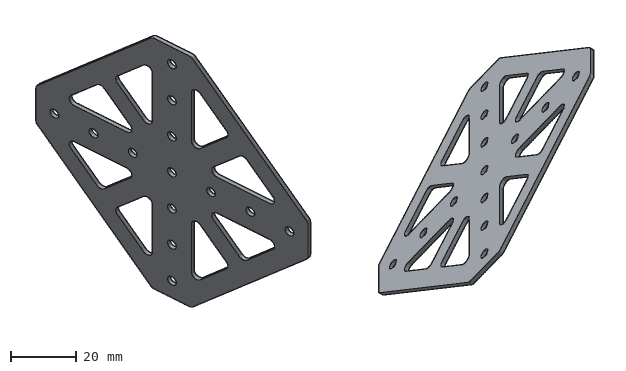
import cadquery as cq

width = 104.0
thickness = 1.5
hole_pitch = 15.0
holes_per_arm = 3
hole_diameter = 3.3
arm_half_width = 7.5
corner_radius = 2.0
diagonal_rib_offset = 5.0
border_offset = 10.0

half_width = width / 2
outer_slope = half_width + arm_half_width
window_slope = outer_slope - border_offset


def plate():
    """Square plate standing in the XZ plane, with its corners cut at 45 degrees."""
    outline = [
        (half_width, arm_half_width),
        (arm_half_width, half_width),
        (-arm_half_width, half_width),
        (-half_width, arm_half_width),
        (-half_width, -arm_half_width),
        (-arm_half_width, -half_width),
        (arm_half_width, -half_width),
        (half_width, -arm_half_width),
    ]
    body = cq.Workplane("XZ").polyline(outline).close().extrude(thickness / 2, both=True)
    return body.edges("|Y").fillet(corner_radius)


def window():
    """Rounded triangular cutter between the upper arm and a diagonal rib."""
    apex_x = (window_slope - diagonal_rib_offset) / 2
    corners = [
        (arm_half_width, arm_half_width + diagonal_rib_offset),
        (apex_x, apex_x + diagonal_rib_offset),
        (arm_half_width, window_slope - arm_half_width),
    ]
    cutter = cq.Workplane("XZ").polyline(corners).close().extrude(thickness, both=True)
    return cutter.edges("|Y").fillet(corner_radius)


def hole_positions():
    """Centre hole plus evenly spaced holes along both arms."""
    steps = range(-holes_per_arm, holes_per_arm + 1)
    along_x = [(i * hole_pitch, 0) for i in steps]
    along_z = [(0, i * hole_pitch) for i in steps if i != 0]
    return along_x + along_z


result = plate()

right_window = window()
left_window = right_window.mirror("YZ")
for angle in range(0, 360, 90):
    for cutter in (right_window, left_window):
        result = result.cut(cutter.rotate((0, 0, 0), (0, 1, 0), angle))

holes = (
    cq.Workplane("XZ")
    .pushPoints(hole_positions())
    .circle(hole_diameter / 2)
    .extrude(thickness, both=True)
)
result = result.cut(holes)